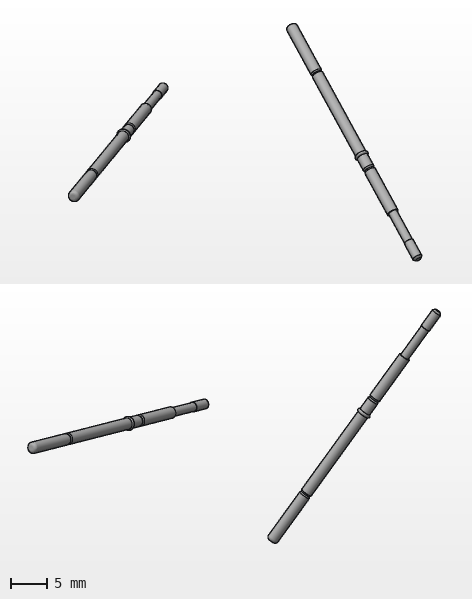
import cadquery as cq

length = 40.0
body_diameter = 1.65
body_radius = body_diameter / 2
body_end = 32.0

nose_round = 0.45

shank_diameter = 1.3
tip_diameter = 1.4
tip_start = 37.0
tip_chamfer = 0.3

collar_radius = 1.0
collar_center = 22.25
collar_width = 0.5

grooves = [(8.2, 0.45), (24.65, 0.5)]
groove_depth = 0.1


def rod(diameter, start, end):
    """Solid cylinder along +Y between two stations."""
    return cq.Workplane("XZ", origin=(0, start, 0)).circle(diameter / 2).extrude(start - end)


def make_body():
    return rod(body_diameter, 0, body_end).faces("<Y").edges().fillet(nose_round)


def make_tail():
    shank = rod(shank_diameter, body_end, tip_start)
    tip = rod(tip_diameter, tip_start, length).faces(">Y").edges().chamfer(tip_chamfer)
    return shank.union(tip)


def make_collar():
    """Disc whose rim is a half-round bead."""
    half_width = collar_width / 2
    bead_center = collar_radius - half_width
    return (
        cq.Workplane("XY", origin=(0, collar_center, 0))
        .moveTo(0, -half_width)
        .lineTo(bead_center, -half_width)
        .threePointArc((collar_radius, 0), (bead_center, half_width))
        .lineTo(0, half_width)
        .close()
        .revolve(360, (0, 0, 0), (0, 1, 0))
    )


def make_groove_cutter(center, width):
    """Ring with a V-shaped inner side, deepest at its centre."""
    half_width = width / 2
    return (
        cq.Workplane("XY", origin=(0, center, 0))
        .moveTo(collar_radius, -half_width)
        .lineTo(body_radius, -half_width)
        .lineTo(body_radius - groove_depth, 0)
        .lineTo(body_radius, half_width)
        .lineTo(collar_radius, half_width)
        .close()
        .revolve(360, (0, 0, 0), (0, 1, 0))
    )


result = make_body().union(make_tail()).union(make_collar())
for groove_center, groove_width in grooves:
    result = result.cut(make_groove_cutter(groove_center, groove_width))